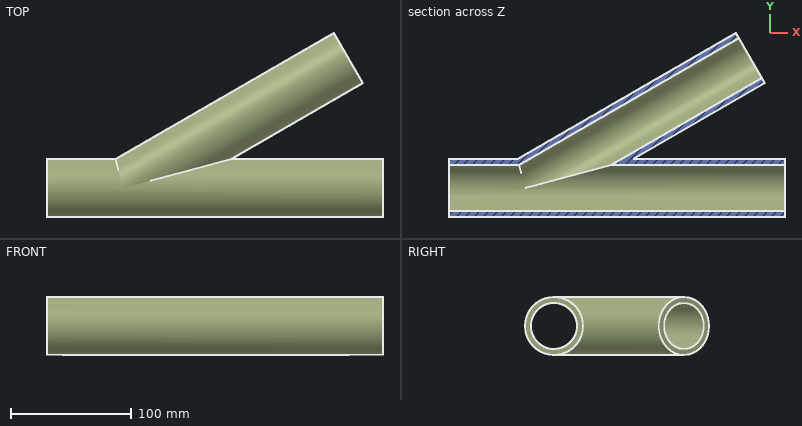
import math

import cadquery as cq

outer_diameter = 48.26
bore_diameter = 38.1
run_length = 279.4
branch_length = 215.9
junction_distance = 63.5
branch_angle = math.radians(30)

junction = cq.Vector(0, 0, 0)
run_start = cq.Vector(-junction_distance, 0, 0)
run_direction = cq.Vector(1, 0, 0)
branch_direction = cq.Vector(math.cos(branch_angle), math.sin(branch_angle), 0)


def make_wye(diameter):
    """Straight run and angled branch of one diameter, joined into a single solid."""
    radius = diameter / 2
    run = cq.Solid.makeCylinder(radius, run_length, run_start, run_direction)
    branch = cq.Solid.makeCylinder(radius, branch_length, junction, branch_direction)
    return cq.Workplane(run).union(cq.Workplane(branch))


outer_body = make_wye(outer_diameter)
bores = make_wye(bore_diameter)
result = outer_body.cut(bores)